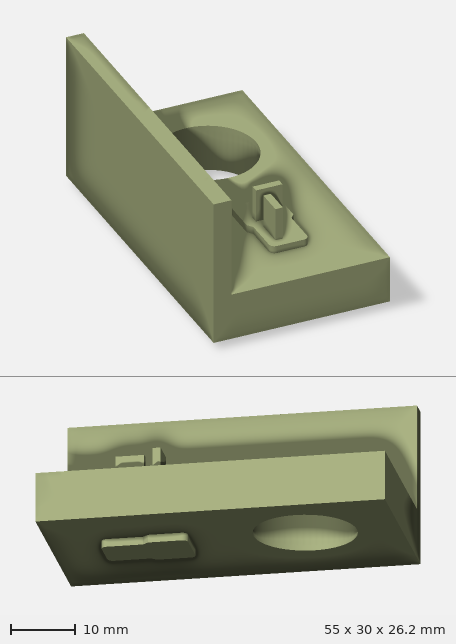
import cadquery as cq

length = 55.0
depth = 30.0
height = 25.0
base_thickness = 8.0
wall_thickness = 3.0

opening_diameter = 16.3
opening_x = 14.9
opening_y = 17.3

connector_left = 32.85
connector_length = 13.75
connector_center_y = 16.9
wide_width = 7.9
narrow_width = 6.5
wide_length = 6.15
step_length = 0.9
corner_radius = 0.95
protrusion = 1.25
connector_height = base_thickness + 2 * protrusion

blade_width = 4.5
blade_thickness = 1.25
blade_top = 14.85
cross_blade_x = 37.95
cross_blade_y = 16.95
long_blade_x = 42.7
long_blade_y = 15.75


def connector_body():
    """Stepped prism, used both as the connector and as its fitting hole."""
    left = connector_left
    step_start = left + wide_length
    step_end = step_start + step_length
    right = left + connector_length
    wide_half = wide_width / 2
    narrow_half = narrow_width / 2
    return (
        cq.Workplane("XY", origin=(0, connector_center_y, -protrusion))
        .moveTo(left, -wide_half)
        .lineTo(step_start, -wide_half)
        .lineTo(step_end, -narrow_half)
        .lineTo(right, -narrow_half)
        .lineTo(right, narrow_half)
        .lineTo(step_end, narrow_half)
        .lineTo(step_start, wide_half)
        .lineTo(left, wide_half)
        .close()
        .extrude(connector_height)
        .faces("<X or >X")
        .edges("|Z")
        .fillet(corner_radius)
    )


def make_bracket():
    base = cq.Workplane("XY").box(length, depth, base_thickness, centered=False)
    wall = cq.Workplane("XY").box(length, wall_thickness, height, centered=False)
    opening = (
        cq.Workplane("XY")
        .center(opening_x, opening_y)
        .circle(opening_diameter / 2)
        .extrude(base_thickness)
    )
    return base.union(wall).cut(opening).cut(connector_body())


def make_blade(x, y, size_x, size_y):
    """Upright blade centered at (x, y), from the connector's top face to blade_top."""
    connector_top = base_thickness + protrusion
    return (
        cq.Workplane("XY", origin=(x, y, connector_top))
        .rect(size_x, size_y)
        .extrude(blade_top - connector_top)
    )


def make_connector():
    cross_blade = make_blade(cross_blade_x, cross_blade_y, blade_thickness, blade_width)
    long_blade = make_blade(long_blade_x, long_blade_y, blade_width, blade_thickness)
    return connector_body().union(cross_blade).union(long_blade)


bracket = make_bracket()
connector = make_connector()
result = cq.Compound.makeCompound([bracket.solids().val(), connector.solids().val()])